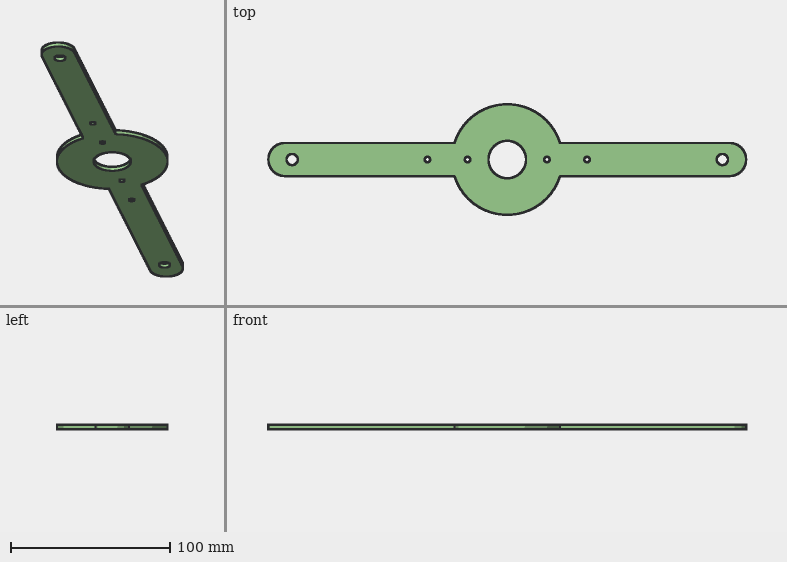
import cadquery as cq

length = 300.0
arm_width = 21.0
thickness = 3.0

disc_diameter = 69.5
bore_diameter = 23.5

end_hole_diameter = 7.0
end_hole_offset = 135.0
small_hole_diameter = 3.3
small_hole_offsets = (25.0, 50.0)


def mirrored_points(offsets):
    """Points on the X axis at each offset, on both sides of the centre."""
    return [(side * offset, 0) for offset in offsets for side in (-1, 1)]


def drill(body, diameter, points):
    """Cut through holes of one diameter at the given points."""
    cutter = cq.Workplane("XY").pushPoints(points).circle(diameter / 2).extrude(thickness)
    return body.cut(cutter)


bar = cq.Workplane("XY").slot2D(length, arm_width).extrude(thickness)
disc = cq.Workplane("XY").circle(disc_diameter / 2).extrude(thickness)
plate = bar.union(disc)

plate = drill(plate, bore_diameter, [(0, 0)])
plate = drill(plate, end_hole_diameter, mirrored_points([end_hole_offset]))
plate = drill(plate, small_hole_diameter, mirrored_points(small_hole_offsets))

result = plate